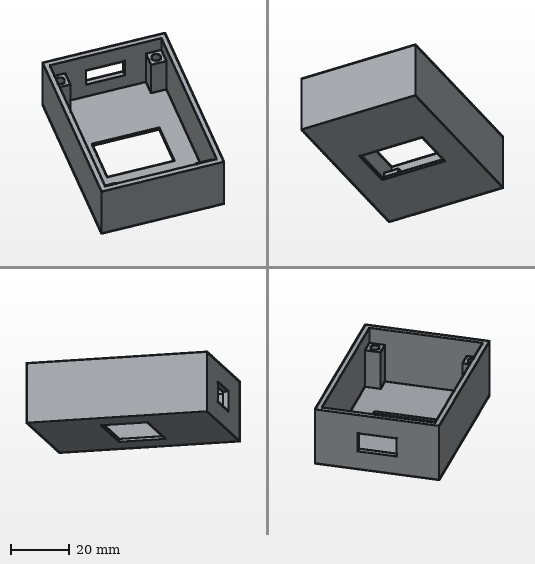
import cadquery as cq

length = 64.25
width = 44.5
height = 21.2
wall = 2.0
floor = 1.0

post_side = 5.6
post_top = 15.3
hole_diameter = 3.2
hole_bottom = floor

window_length = 16.5
window_width = 24.4

port_width = 14.15
port_height = 7.05
port_bottom = 7.0

inner_length = length - 2 * wall
inner_width = width - 2 * wall
post_spacing_x = inner_length - post_side
post_spacing_y = inner_width - post_side


def block(size_x, size_y, bottom, top):
    """Box centred on the Z axis between two heights."""
    return cq.Workplane("XY").workplane(offset=bottom).rect(size_x, size_y).extrude(top - bottom)


def at_post_centres(bottom):
    """Workplane at the given height with a point on each post axis."""
    return cq.Workplane("XY").workplane(offset=bottom).rarray(post_spacing_x, post_spacing_y, 2, 2)


tray = block(length, width, 0, height).cut(block(inner_length, inner_width, floor, height))

posts = at_post_centres(0).rect(post_side, post_side).extrude(post_top)
holes = at_post_centres(hole_bottom).circle(hole_diameter / 2).extrude(post_top - hole_bottom)

floor_window = block(window_length, window_width, 0, floor)
port = block(wall, port_width, port_bottom, port_bottom + port_height).translate(
    ((wall - length) / 2, 0, 0)
)

result = tray.union(posts).cut(holes).cut(floor_window).cut(port)